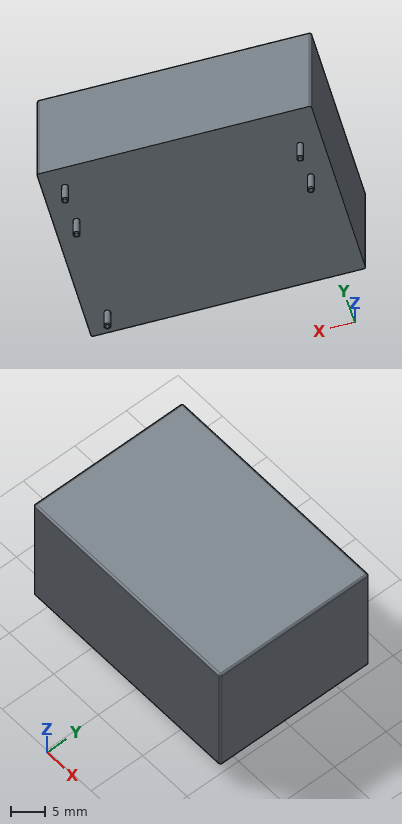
import cadquery as cq

length = 42.0
width = 28.9
overall_height = 25.3
edge_radius = 0.35

pin_length = 3.9
pin_diameter = 1.0
pin_tip_chamfer = 0.15
pin_row_x = 17.6
left_pin_ys = (2.85, 8.45)
right_pin_ys = (-11.17, 5.12, 11.17)

body_height = overall_height - pin_length


def make_housing():
    """Block standing on Z = 0, rounded everywhere except around its base."""
    block = cq.Workplane("XY").box(length, width, body_height, centered=(True, True, False))
    return block.edges("|Z or >Z").fillet(edge_radius)


def make_pins():
    """Two rows of pins hanging from the base, with chamfered tips."""
    left_points = [(-pin_row_x, y) for y in left_pin_ys]
    right_points = [(pin_row_x, y) for y in right_pin_ys]
    pins = cq.Workplane("XY").pushPoints(left_points + right_points)
    pins = pins.circle(pin_diameter / 2).extrude(-pin_length)
    return pins.faces("<Z").edges().chamfer(pin_tip_chamfer)


result = make_housing().union(make_pins())